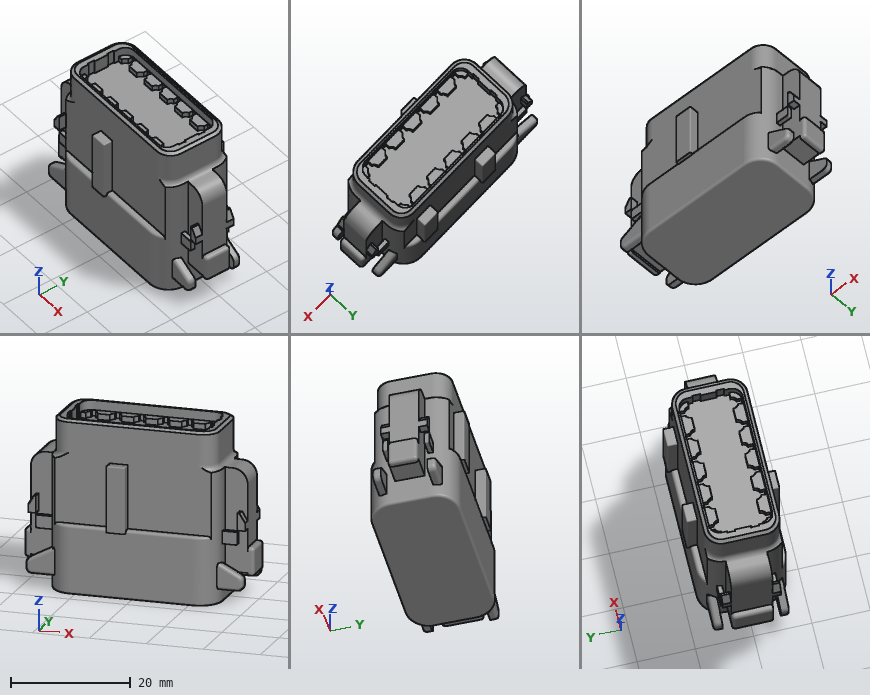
import cadquery as cq

TOTAL_HEIGHT = 30.1
BASE_HALF_LENGTH = 14.92
BASE_HALF_WIDTH = 7.65
BASE_CORNER_RADIUS = 4.1
BASE_BOTTOM_FILLET = 0.5
STEP_Z = 12.1
STEP_FILLET = 0.5
SHOULDER_Z = 23.2
NECK_HALF_LENGTH = 14.3
NECK_HALF_WIDTH = 6.45
NECK_CORNER_RADIUS = 2.9
NECK_BLEND_RADIUS = 1.12
RIM_CHAMFER_HEIGHT = 0.4
RIM_CHAMFER_WIDTH = 0.65

CAVITY_HALF_LENGTH = 12.4
CAVITY_HALF_WIDTH = 5.45
CAVITY_CORNER_RADIUS = 1.8
LEDGE_DEPTH = 1.7
POCKET_DEPTH = 1.0
LEDGE_Z = TOTAL_HEIGHT - LEDGE_DEPTH
FLOOR_Z = LEDGE_Z - POCKET_DEPTH
FLOOR_HALF_WIDTH = 3.55
SLOT_COUNT = 6
SLOT_PITCH = 4.2
SLOT_HALF_WIDTH = 0.45
SLOT_MOUTH_RADIUS = 1.05
SLOT_END_Y = 5.3
END_NOTCH_DEPTH = 0.25
END_NOTCH_WIDTH = 1.32
END_NOTCH_Y = 2.05

RIB_WIDTH = 3.3
RIB_SPAN = 16.52
RIB_OUTER_Y = RIB_SPAN / 2
RIB_ROOT_Y = 5.85
RIB_BOTTOM_Z = STEP_Z - STEP_FILLET
RIB_FILLET = 0.2
FRONT_RIB_CENTERS = [-2.52]
BACK_RIB_CENTERS = [-4.95, 9.05]

LEFT_FIN_HALF_WIDTH = 3.55
RIGHT_FIN_HALF_WIDTH = 2.55
FIN_OUTER_X = 18.9
FIN_TOP_RADIUS = 2.65
FIN_BOTTOM_Z = 5.1
CATCH_OUTER_X = 20.0
CATCH_BOTTOM_Z = 4.5
CATCH_TOP_Z = 9.52
CATCH_FILLET = 0.6

SIDE_REACH = 1.45
TAB_GAP = 0.6
ARM_OUTER_REACH = 2.92

BARB_INNER_X = 17.52
BARB_TIP_X = 17.9
BARB_BOTTOM_Z = 12.8
BARB_SHOULDER_Z = 14.25
BARB_TIP_Z = 15.8

TAB_BOTTOM_Z = 10.25
TAB_TOP_Z = 12.5
TAB_FILLET = 0.3

ARM_BOTTOM_Z = 2.55
ARM_TOP_Z = 7.45
ARM_SLOPE_START_X = 14.15
ARM_SLOPE_END_Z = 4.95
ARM_NOSE_RADIUS = 1.0
ARM_FILLET = 0.6

ROOT_X = 13.2
MARGIN = 0.05
SLAB_HALF_WIDTH = NECK_HALF_WIDTH + 2 * NECK_BLEND_RADIUS


def rounded_block(half_length, half_width, corner_radius, z_low, z_high):
    return (
        cq.Workplane("XY")
        .workplane(offset=z_low)
        .rect(2 * half_length, 2 * half_width)
        .extrude(z_high - z_low)
        .edges("|Z")
        .fillet(corner_radius)
    )


def block(x_low, x_high, y_low, y_high, z_low, z_high):
    return cq.Workplane("XY").box(
        x_high - x_low, y_high - y_low, z_high - z_low, centered=False
    ).translate((x_low, y_low, z_low))


def plate(points, y_low, y_high):
    """Polygon in the XZ plane, thickened from y_low to y_high."""
    return (
        cq.Workplane("XZ", origin=(0, y_low, 0))
        .polyline(points)
        .close()
        .extrude(-(y_high - y_low))
    )


def mirrored_pair(half):
    """A solid on the +Y side together with its mirror image."""
    return half.union(half.mirror("XZ"))


def base():
    solid = rounded_block(BASE_HALF_LENGTH, BASE_HALF_WIDTH, BASE_CORNER_RADIUS, 0, STEP_Z)
    solid = solid.faces("<Z").edges().fillet(BASE_BOTTOM_FILLET)
    return solid.faces(">Z").edges().fillet(STEP_FILLET)


def shoulder_and_neck():
    """Oversized shoulder slab carrying the neck, with a concave blend where they meet."""
    slab = block(
        -FIN_OUTER_X, FIN_OUTER_X, -SLAB_HALF_WIDTH, SLAB_HALF_WIDTH, BASE_BOTTOM_FILLET, SHOULDER_Z
    )
    neck = rounded_block(
        NECK_HALF_LENGTH, NECK_HALF_WIDTH, NECK_CORNER_RADIUS, SHOULDER_Z, TOTAL_HEIGHT
    )
    neck = neck.faces(">Z").edges().chamfer(RIM_CHAMFER_HEIGHT, RIM_CHAMFER_WIDTH)
    neck_foot = cq.selectors.BoxSelector(
        (-NECK_HALF_LENGTH - MARGIN, -NECK_HALF_WIDTH - MARGIN, SHOULDER_Z - MARGIN),
        (NECK_HALF_LENGTH + MARGIN, NECK_HALF_WIDTH + MARGIN, SHOULDER_Z + MARGIN),
    )
    return slab.union(neck).edges(neck_foot).fillet(NECK_BLEND_RADIUS)


def upper_shell_outline():
    """Base outline carried to the top and trimmed flat to the width of the neck."""
    outline = rounded_block(
        BASE_HALF_LENGTH, BASE_HALF_WIDTH, BASE_CORNER_RADIUS, BASE_BOTTOM_FILLET, TOTAL_HEIGHT
    )
    flats = block(
        -BASE_HALF_LENGTH, BASE_HALF_LENGTH, -NECK_HALF_WIDTH, NECK_HALF_WIDTH, 0, TOTAL_HEIGHT
    )
    return outline.intersect(flats)


def fin_outline(half_width):
    """Fin on the +X end, with room above its root for the blend into the neck."""
    fin = block(ROOT_X, FIN_OUTER_X, -half_width, half_width, FIN_BOTTOM_Z, SHOULDER_Z)
    fin = fin.edges(">X and >Z").fillet(FIN_TOP_RADIUS)
    blend_room = block(
        ROOT_X,
        NECK_HALF_LENGTH + NECK_BLEND_RADIUS,
        -half_width,
        half_width,
        SHOULDER_Z - FIN_TOP_RADIUS,
        SHOULDER_Z + NECK_BLEND_RADIUS,
    )
    return fin.union(blend_room)


def catch(half_width):
    """Latching block on the face of the fin, rounded on all but the face it stands on."""
    solid = block(FIN_OUTER_X, CATCH_OUTER_X, -half_width, half_width, CATCH_BOTTOM_Z, CATCH_TOP_Z)
    return solid.edges("not <X").fillet(CATCH_FILLET)


def barb(fin_half_width):
    profile = [
        (BARB_INNER_X, BARB_BOTTOM_Z),
        (FIN_OUTER_X, BARB_BOTTOM_Z),
        (FIN_OUTER_X, BARB_SHOULDER_Z),
        (BARB_TIP_X, BARB_TIP_Z),
        (BARB_INNER_X, BARB_TIP_Z),
    ]
    return plate(profile, fin_half_width - MARGIN, fin_half_width + SIDE_REACH)


def tab(fin_half_width):
    solid = block(
        ROOT_X,
        BARB_INNER_X,
        fin_half_width + TAB_GAP,
        fin_half_width + SIDE_REACH,
        TAB_BOTTOM_Z,
        TAB_TOP_Z,
    )
    return solid.edges(">X and <Z").fillet(TAB_FILLET)


def arm(fin_half_width):
    """Sloped arm beside the fin, with a round nose and softened outer edges."""
    profile = [
        (ROOT_X, ARM_BOTTOM_Z),
        (FIN_OUTER_X, ARM_BOTTOM_Z),
        (FIN_OUTER_X, ARM_SLOPE_END_Z),
        (ARM_SLOPE_START_X, ARM_TOP_Z),
        (ROOT_X, ARM_TOP_Z),
    ]
    solid = plate(profile, fin_half_width + SIDE_REACH, fin_half_width + ARM_OUTER_REACH)
    solid = solid.faces(">X").edges("|Y").fillet(ARM_NOSE_RADIUS)
    return solid.faces(">Y").edges("not <X").fillet(ARM_FILLET)


def end_details(fin_half_width):
    """Catch, barbs, tabs and arms of the +X end."""
    side = barb(fin_half_width).union(tab(fin_half_width)).union(arm(fin_half_width))
    return mirrored_pair(side).union(catch(fin_half_width))


def rib(center_x):
    """Keying rib on the +Y side, rounded except at its flat bottom and its root."""
    solid = block(
        center_x - RIB_WIDTH / 2,
        center_x + RIB_WIDTH / 2,
        RIB_ROOT_Y,
        RIB_OUTER_Y,
        RIB_BOTTOM_Z,
        SHOULDER_Z,
    )
    return solid.edges("not (<Z or <Y)").fillet(RIB_FILLET)


def cavity():
    """Open recess down to the ledge, then the slotted pocket down to the floor."""
    opening = rounded_block(
        CAVITY_HALF_LENGTH, CAVITY_HALF_WIDTH, CAVITY_CORNER_RADIUS, LEDGE_Z, TOTAL_HEIGHT
    )
    pocket = block(
        -CAVITY_HALF_LENGTH,
        CAVITY_HALF_LENGTH,
        -FLOOR_HALF_WIDTH,
        FLOOR_HALF_WIDTH,
        FLOOR_Z,
        TOTAL_HEIGHT,
    )
    for index in range(SLOT_COUNT):
        slot_x = (index - (SLOT_COUNT - 1) / 2) * SLOT_PITCH
        slot = block(
            slot_x - SLOT_HALF_WIDTH,
            slot_x + SLOT_HALF_WIDTH,
            -SLOT_END_Y,
            SLOT_END_Y,
            FLOOR_Z,
            LEDGE_Z,
        )
        round_mouths = (
            cq.Workplane("XY", origin=(slot_x, 0, FLOOR_Z))
            .pushPoints([(0, -FLOOR_HALF_WIDTH), (0, FLOOR_HALF_WIDTH)])
            .circle(SLOT_MOUTH_RADIUS)
            .extrude(LEDGE_Z - FLOOR_Z)
        )
        pocket = pocket.union(slot).union(round_mouths)
    notch_reach = CAVITY_HALF_LENGTH + END_NOTCH_DEPTH
    notch = block(
        -notch_reach,
        notch_reach,
        END_NOTCH_Y - END_NOTCH_WIDTH / 2,
        END_NOTCH_Y + END_NOTCH_WIDTH / 2,
        FLOOR_Z,
        TOTAL_HEIGHT,
    )
    return opening.union(pocket).union(mirrored_pair(notch))


left_fin = fin_outline(LEFT_FIN_HALF_WIDTH).mirror("YZ")
right_fin = fin_outline(RIGHT_FIN_HALF_WIDTH)
upper = shoulder_and_neck().intersect(upper_shell_outline().union(left_fin).union(right_fin))

body = base().union(upper)
body = body.union(end_details(LEFT_FIN_HALF_WIDTH).mirror("YZ"))
body = body.union(end_details(RIGHT_FIN_HALF_WIDTH))
for rib_x in BACK_RIB_CENTERS:
    body = body.union(rib(rib_x))
for rib_x in FRONT_RIB_CENTERS:
    body = body.union(rib(rib_x).mirror("XZ"))

result = body.cut(cavity())